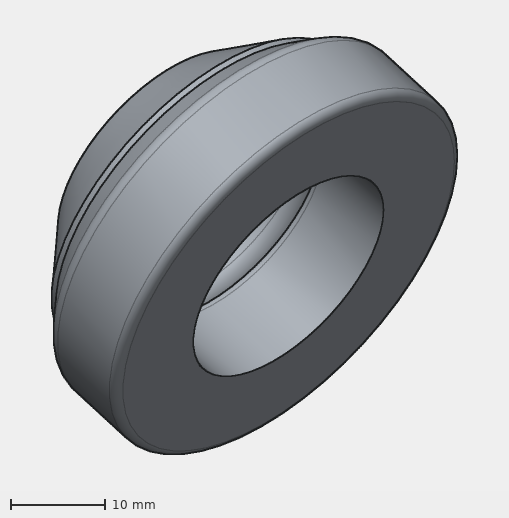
import cadquery as cq
import math

total_length = 21.25
outer_radius = 48.5 / 2
bore_radius = 26.68 / 2
joint_x = 7.8
seat_inner_x = 10.45
seat_inner_radius = 28.6 / 2
groove_front_x = 8.55
groove_back_x = 11.35
shoulder_radius = 20.95
nose_round = 0.4
shoulder_round = 1.8
back_round = 1.0

DIAGONAL = math.sqrt(0.5)
HALF_ARC = math.radians(22.5)


def revolve_about_x(profile):
    """Turn a closed (x, radius) profile through a full circle about X."""
    return profile.close().revolve(360, (0, 0, 0), (1, 0, 0))


def bore_round_middle(groove_edge_x):
    """Middle of the arc that leaves the bore tangentially and ends at the inner edge of the seat."""
    width = seat_inner_x - groove_edge_x
    depth = seat_inner_radius - bore_radius
    arc_radius = (width**2 + depth**2) / (2 * depth)
    half_angle = math.atan(depth / width)
    return (
        groove_edge_x + arc_radius * math.sin(half_angle),
        bore_radius + arc_radius * (1 - math.cos(half_angle)),
    )


def make_front_ring():
    """Conical ring with a rounded nose and a narrow cylindrical land."""
    nose_center_radius = bore_radius + nose_round
    cone_start_x = nose_round * (1 - DIAGONAL)
    cone_start_radius = nose_center_radius + nose_round * DIAGONAL
    cone_end_x = cone_start_x + shoulder_radius - cone_start_radius
    nose_middle = (
        nose_round * (1 - math.cos(HALF_ARC)),
        nose_center_radius - nose_round * math.sin(HALF_ARC),
    )
    profile = (
        cq.Workplane("XY")
        .moveTo(nose_round, bore_radius)
        .threePointArc(nose_middle, (cone_start_x, cone_start_radius))
        .lineTo(cone_end_x, shoulder_radius)
        .lineTo(joint_x, shoulder_radius)
        .lineTo(seat_inner_x, seat_inner_radius)
        .threePointArc(bore_round_middle(groove_front_x), (groove_front_x, bore_radius))
    )
    return revolve_about_x(profile)


def make_rear_ring():
    """Ring with a conical shoulder rounded into a cylindrical rim."""
    cone_height = outer_radius - shoulder_radius
    rim_start_x = joint_x + cone_height + shoulder_round * math.tan(HALF_ARC)
    shoulder_center_radius = outer_radius - shoulder_round
    cone_end = (
        rim_start_x - shoulder_round * DIAGONAL,
        shoulder_center_radius + shoulder_round * DIAGONAL,
    )
    shoulder_middle = (
        rim_start_x - shoulder_round * math.sin(HALF_ARC),
        shoulder_center_radius + shoulder_round * math.cos(HALF_ARC),
    )
    back_middle = (
        total_length - back_round * (1 - DIAGONAL),
        outer_radius - back_round * (1 - DIAGONAL),
    )
    profile = (
        cq.Workplane("XY")
        .moveTo(seat_inner_x, seat_inner_radius)
        .lineTo(joint_x, shoulder_radius)
        .lineTo(*cone_end)
        .threePointArc(shoulder_middle, (rim_start_x, outer_radius))
        .lineTo(total_length - back_round, outer_radius)
        .threePointArc(back_middle, (total_length, outer_radius - back_round))
        .lineTo(total_length, bore_radius)
        .lineTo(groove_back_x, bore_radius)
        .threePointArc(bore_round_middle(groove_back_x), (seat_inner_x, seat_inner_radius))
    )
    return revolve_about_x(profile)


front_ring = make_front_ring()
rear_ring = make_rear_ring()

result = cq.Compound.makeCompound([front_ring.val(), rear_ring.val()])